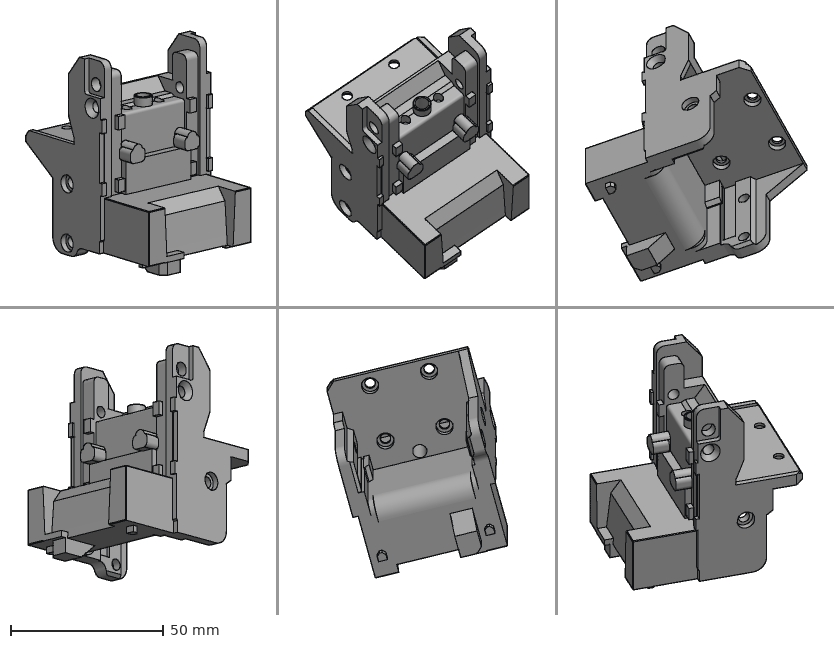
import cadquery as cq

length = 59.1
width = 48.4
height = 70.0
half_width = width / 2

cheek_front = 13.4
cheek_back = 37.0
cheek_inner_y = 18.3
leg_bead = [(16.95, 21.1), (17.5, 20.2), (17.9, 19.7)]
leg_inner_y = 19.2
leg_bead_back = 18.1
leg_mouth_y = leg_bead[0][1]
shoulder_x = 28.7
window_x = (23.6, 28.0)
window_floor_z = 7.35
window_y = 20.3
base_z = 5.1
lobe_bottom_z = 1.4
lobe_flat_end_x = 22.8
lobe_end_x = 28.0
leg_radius = 4.9
leg_chamfer = 1.1
lobe_radius = 2.8
neck_x = 21.15
neck_bottom_z = 49.15
shelf_joint = (24.0, 41.9)
ear_slope_top_x = 26.6
ear_slope_bottom_z = 63.2
cheek_slope_end_z = 26.2
back_step = 0.4
back_step_z = (9.1, 9.65)

shelf_bottom_z = 35.8
shelf_z = 38.85
rim_z = 39.8
lip_bevel_x = 1.55
lip_top_z = 37.8
rim_inner_y = 22.3
shelf_recess_x = 28.0
far_cheek_front = 11.1
shelf_corner = 3.0
shelf_hole_d = 3.4
shelf_nut_d = 5.6
shelf_nut_depth = 2.1
shelf_hole_pitch = 20.0
shelf_hole_x = 4.5

crossbar_z = 55.7
ear_inner_y = 19.3
ear_radius = 2.8
post_inner_y = 14.2
post_front = 29.2
post_back = 36.1
post_top_z = 65.6
post_radius = 2.0
channel_floor_z = 50.4
channel_front_x = 22.05
channel_step_x = (25.55, 28.8)
channel_floor_x = 30.25
channel_step_z = 51.25
wall_back = 35.3
wall_front = 33.3
wall_corner_radius = 1.05
boss_x = 30.8
boss_top_z = 53.6
boss_d = 6.0
boss_bore_d = 4.6
boss_chamfer = 0.2
pin_hole_d = 3.2
pin_hole_y = 7.0
pin_hole_depth = 4.2
ear_pocket_x = 29.25
ear_pocket_z = 58.1
ear_pocket_depth = half_width - rim_inner_y
ear_pocket_radius = 1.0
ear_hole_x = 32.8
ear_hole_z = 61.7
ear_hole_d = 4.6
ear_hole_depth = 3.5

screw_d = 3.8
screw_head_d = 6.0
screw_head_depth = 2.1
countersink_d = 6.7
pivot_z = 54.0
screw_x = 20.5
upper_screw_z = 25.6
lower_screw_z = 5.45

block_top_z = 23.9
block_half_y = 22.4
block_edge = 0.3
notch_x = 50.7
notch_half_y = 15.4
notch_bottom_half_y = 14.4
throat_slope = [(54.2, 19.6), (55.7, 8.4)]
throat_x = 56.2
roll_radius = 6.85
roll_half_y = 16.45
end_roll_radius = 4.0
gusset_bottom_z = 25.55
gusset_corner = 1.4

tab_back = 37.9
tab_spans = [(46.3, 50.9), (24.9, 29.25)]
inner_tab_outer_y = 17.0
pad_back = 38.35
pad_top_z = 35.15
peg_y = 11.9
peg_width = 4.05
peg_back = 41.65
peg_top_z = 41.3
peg_shoulder_z = 39.75
peg_bottom_z = 35.0
peg_foot_half_width = 3.2
peg_foot_radius = 1.7

foot_y = (-14.55, -7.0)
foot_front = 43.25
foot_toe_x = 49.5
foot_back = 57.2
foot_corner = 2.0
ledge_thickness = 2.1
nub_x = (50.05, 52.9)
nub_y = (16.7, 19.75)
nub_bottom_z = 2.95
nub_corner = 1.05


def box(x_span, y_span, z_span):
    """Box between the given limits on each axis."""
    return (
        cq.Workplane("XY")
        .box(x_span[1] - x_span[0], y_span[1] - y_span[0], z_span[1] - z_span[0], centered=False)
        .translate((x_span[0], y_span[0], z_span[0]))
    )


def prism(sketch, y_span):
    """Extrude an XZ outline along Y between two Y values."""
    return sketch.extrude(y_span[1] - y_span[0]).translate((0, y_span[1], 0))


def xz():
    return cq.Workplane("XZ")


def rod_y(x, z, diameter, y_span):
    """Cylinder along Y."""
    return prism(xz().center(x, z).circle(diameter / 2), y_span)


def both_sides(solid):
    return solid.union(solid.mirror("XZ"))


def side_outline():
    """Side profile of shelf, cheeks and arms, down to the base height."""
    return xz().polyline([
        (ear_slope_top_x, height), (neck_x, ear_slope_bottom_z), (neck_x, neck_bottom_z), shelf_joint,
        (shelf_joint[0], rim_z), (lip_bevel_x, rim_z), (0, lip_top_z), (0, shelf_bottom_z),
        (cheek_front, cheek_slope_end_z), (cheek_front, base_z), (cheek_back - back_step, base_z),
        (cheek_back - back_step, back_step_z[0]), (cheek_back, back_step_z[1]), (cheek_back, height),
    ]).close()


def lobed_leg():
    """Lower end of the -Y cheek, hanging below the base around the lower screw."""
    curve_mid = ((lobe_flat_end_x + lobe_end_x) / 2, (lobe_bottom_z + base_z) / 2)
    outline = (
        xz().moveTo(cheek_front, base_z + leg_radius)
        .lineTo(cheek_front, lobe_bottom_z + leg_radius)
        .radiusArc((cheek_front + leg_radius, lobe_bottom_z), -leg_radius)
        .lineTo(lobe_flat_end_x, lobe_bottom_z)
        .radiusArc(curve_mid, -lobe_radius)
        .radiusArc((lobe_end_x, base_z), lobe_radius)
        .lineTo(lobe_end_x, base_z + leg_radius).close()
    )
    return prism(outline, (-half_width, -leg_inner_y))


def leg_edge(side, bottom_z):
    """Wedge that bevels the inner lower edge of one leg; side is +1 for the +Y cheek."""
    return (
        cq.Workplane("YZ").polyline([
            (side * leg_inner_y, bottom_z), (side * (leg_inner_y + leg_chamfer), bottom_z),
            (side * leg_inner_y, bottom_z + leg_chamfer),
        ]).close().extrude(shoulder_x)
    )


def body_shell():
    """Shelf, cheeks, arms and wall."""
    body = prism(side_outline(), (-half_width, half_width))
    body = body.edges("|Y and >Z and >X").fillet(ear_radius)
    body = body.edges("|Y").edges(
        cq.selectors.BoxSelector((cheek_front - 0.7, -0.7, base_z - 0.7), (cheek_front + 0.7, 0.7, base_z + 0.7))
    ).fillet(leg_radius)
    body = body.union(lobed_leg())

    half_plan = [
        (0, 0), (0, leg_mouth_y), *leg_bead, (leg_bead_back, leg_inner_y),
        (shoulder_x, leg_inner_y), (shoulder_x, cheek_inner_y),
        (wall_front, cheek_inner_y), (wall_front, 0),
    ]
    room = cq.Workplane("XY").polyline(half_plan).close().extrude(shelf_bottom_z)
    window = box(window_x, (0, window_y), (window_floor_z, shelf_bottom_z))
    body = body.cut(both_sides(room.union(window)))
    body = body.cut(leg_edge(1, base_z)).cut(leg_edge(-1, lobe_bottom_z))
    body = body.cut(box((0, far_cheek_front), (0, half_width), (0, shelf_bottom_z)))
    corner = (
        cq.Workplane("XY").polyline([
            (0, half_width), (shelf_corner, half_width), (0, half_width - shelf_corner)
        ]).close().extrude(height)
    )
    body = body.cut(corner)

    shelf_width = (-rim_inner_y, rim_inner_y)
    body = body.cut(box((0, shelf_recess_x), shelf_width, (shelf_z, neck_bottom_z)))
    body = body.cut(box((0, cheek_back), (-ear_inner_y, ear_inner_y), (crossbar_z, height)))
    body = body.cut(box((post_back, cheek_back), (-ear_inner_y, ear_inner_y), (block_top_z, height)))
    body = body.cut(box((wall_back, cheek_back), (-post_inner_y, post_inner_y), (block_top_z, height)))
    return body


def posts():
    post = box((post_front, post_back), (post_inner_y, ear_inner_y), (channel_floor_z, post_top_z))
    return both_sides(post.edges("|Y and >Z").fillet(post_radius))


def crossbar_channel():
    """Stepped trough in the crossbar between the posts, with a rounded rear lip."""
    lip_x = wall_back - wall_corner_radius
    outline = (
        xz().moveTo(channel_front_x, crossbar_z)
        .lineTo(channel_step_x[0], channel_step_z).lineTo(channel_step_x[1], channel_step_z)
        .lineTo(channel_floor_x, channel_floor_z).lineTo(lip_x, channel_floor_z)
        .radiusArc((wall_back, channel_floor_z - wall_corner_radius), wall_corner_radius)
        .lineTo(cheek_back, channel_floor_z - wall_corner_radius)
        .lineTo(cheek_back, crossbar_z).close()
    )
    return prism(outline, (-post_inner_y, post_inner_y))


def boss():
    solid = (
        cq.Workplane("XY", origin=(boss_x, 0, channel_floor_z))
        .circle(boss_d / 2).extrude(boss_top_z - channel_floor_z)
    )
    return solid.faces(">Z").chamfer(boss_chamfer)


def ear_pocket():
    """Corner pocket with a blind hole on the outside of the +Y ear."""
    pocket = box(
        (ear_pocket_x, cheek_back), (half_width - ear_pocket_depth, half_width), (ear_pocket_z, height)
    ).edges("|Y and <X and <Z").fillet(ear_pocket_radius)
    hole = rod_y(ear_hole_x, ear_hole_z, ear_hole_d, (rim_inner_y - ear_hole_depth, rim_inner_y))
    return pocket.union(hole)


def cheek_holes():
    """Pivot and screw holes across both cheeks; the lowest screw is in the -Y leg only."""
    full = (-half_width, half_width)
    head_y = half_width - screw_head_depth
    cone = cq.Workplane(cq.Solid.makeCone(
        countersink_d / 2, screw_d / 2, screw_head_depth,
        pnt=cq.Vector(ear_hole_x, -half_width, pivot_z), dir=cq.Vector(0, 1, 0),
    ))
    holes = rod_y(ear_hole_x, pivot_z, screw_d, full).union(both_sides(cone))
    holes = holes.union(rod_y(screw_x, upper_screw_z, screw_d, full))
    holes = holes.union(both_sides(rod_y(screw_x, upper_screw_z, screw_head_d, (head_y, half_width))))
    holes = holes.union(rod_y(screw_x, lower_screw_z, screw_d, (-half_width, 0)))
    return holes.union(rod_y(screw_x, lower_screw_z, screw_head_d, (-half_width, -head_y)))


def vertical_holes():
    """Shelf holes widened from below, boss bore and the two pin holes beside the boss."""
    shelf_points = [
        (shelf_hole_x + step * shelf_hole_pitch, side * shelf_hole_pitch / 2)
        for step in (0, 1) for side in (-1, 1)
    ]
    shelf_holes = (
        cq.Workplane("XY", origin=(0, 0, shelf_bottom_z)).pushPoints(shelf_points)
        .circle(shelf_hole_d / 2).extrude(shelf_z - shelf_bottom_z)
    )
    nut_seats = (
        cq.Workplane("XY", origin=(0, 0, shelf_bottom_z)).pushPoints(shelf_points)
        .circle(shelf_nut_d / 2).extrude(shelf_nut_depth)
    )
    bore = (
        cq.Workplane("XY", origin=(boss_x, 0, 0)).circle(boss_bore_d / 2).extrude(boss_top_z)
    )
    pin_holes = (
        cq.Workplane("XY", origin=(boss_x, 0, channel_step_z))
        .pushPoints([(0, -pin_hole_y), (0, pin_hole_y)])
        .circle(pin_hole_d / 2).extrude(-pin_hole_depth)
    )
    return shelf_holes.union(nut_seats).union(bore).union(pin_holes)


def rear_block():
    block = box((post_back, length), (-block_half_y, block_half_y), (base_z, block_top_z))
    block = block.faces(">X or >Z").edges("not(<X)").chamfer(block_edge)
    throat = prism(
        xz().moveTo(notch_x, block_top_z).lineTo(*throat_slope[0])
        .lineTo(*throat_slope[1]).lineTo(throat_x, base_z)
        .lineTo(length, base_z).lineTo(length, block_top_z).close(),
        (-notch_half_y, notch_half_y),
    )
    leaning_sides = (
        cq.Workplane("YZ", origin=(notch_x, 0, 0)).polyline([
            (-notch_half_y, block_top_z), (notch_half_y, block_top_z),
            (notch_bottom_half_y, base_z), (-notch_bottom_half_y, base_z),
        ]).close().extrude(length - notch_x)
    )
    return block.cut(throat.intersect(leaning_sides))


def wall_roll(radius, half_y):
    """Material removed to round the lower front edge of the wall."""
    outline = (
        xz().moveTo(wall_front, base_z).lineTo(wall_front, base_z + radius)
        .radiusArc((wall_front + radius, base_z), -radius).close()
    )
    return prism(outline, (-half_y, half_y))


def shelf_gussets():
    """Ribs in the upper corners between cheeks, shelf and wall."""
    rib = box(
        (shelf_recess_x, wall_front), (roll_half_y, cheek_inner_y), (gusset_bottom_z, shelf_bottom_z)
    )
    return both_sides(rib.edges("|X and <Z and <Y").chamfer(gusset_corner))


def back_tabs():
    tabs = None
    for z_span in tab_spans:
        tab = box((post_back, tab_back), (rim_inner_y, half_width), z_span)
        tab = tab.union(box((wall_back, tab_back), (post_inner_y, inner_tab_outer_y), z_span))
        tabs = tab if tabs is None else tabs.union(tab)
    return both_sides(tabs)


def back_edge_relief():
    """Shallow step in the cheek's rear edge between the two tabs."""
    relief = box(
        (cheek_back - back_step, cheek_back), (rim_inner_y, half_width),
        (tab_spans[1][1], tab_spans[0][0]),
    )
    return both_sides(relief)


def pegs():
    """Pegs with an arched crown on a wider rounded base, standing out from the wall."""
    half = peg_width / 2
    profile = (
        cq.Workplane("YZ", origin=(wall_front, 0, 0))
        .moveTo(peg_y - half, peg_bottom_z).lineTo(peg_y - half, peg_shoulder_z)
        .threePointArc((peg_y, peg_top_z), (peg_y + half, peg_shoulder_z))
        .lineTo(peg_y + half, peg_bottom_z).close()
    )
    peg = profile.extrude(peg_back - wall_front)
    foot = box(
        (post_back, peg_back), (peg_y - peg_foot_half_width, peg_y + peg_foot_half_width),
        (peg_bottom_z, peg_shoulder_z),
    ).edges("|X").fillet(peg_foot_radius)
    return both_sides(peg.union(foot))


def underside_parts():
    """Wedge foot with its ledge in the throat, and two nubs."""
    foot = prism(
        xz().polyline([
            (foot_front, base_z), (foot_toe_x, 0), (foot_back, 0), (foot_back, base_z + ledge_thickness),
            (foot_front, base_z + ledge_thickness),
        ]).close(),
        foot_y,
    )
    ledge = box((notch_x, length), (-notch_half_y, foot_y[1]), (base_z, base_z + ledge_thickness))
    foot = foot.edges("|Z and >X and <Y").chamfer(foot_corner)
    nub = box(nub_x, nub_y, (nub_bottom_z, base_z))
    nubs = both_sides(nub.edges("|Z and <X").chamfer(nub_corner))
    return foot.union(ledge).union(nubs)


body = body_shell().union(posts()).cut(crossbar_channel())
body = body.cut(cheek_holes()).union(boss())
body = body.cut(both_sides(ear_pocket())).cut(back_edge_relief())
body = body.union(rear_block()).union(shelf_gussets())
body = body.cut(wall_roll(end_roll_radius, cheek_inner_y)).cut(wall_roll(roll_radius, roll_half_y))
body = body.union(box((wall_front, pad_back), (-post_inner_y, post_inner_y), (block_top_z, pad_top_z)))
body = body.union(back_tabs()).union(pegs()).union(underside_parts())
result = body.cut(vertical_holes())